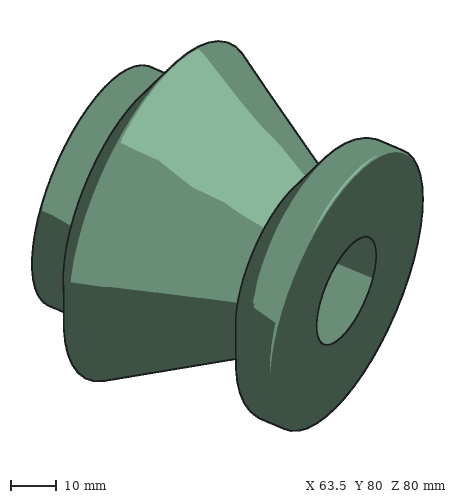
import cadquery as cq
import math

length = 63.5
rim_radius = 40.0
rim_position = 15.6
rim_round = 0.7
hub_radius = 28.5
neck_position = 48.0
flange_radius = 33.2
bore_radius = 12.7
long_cone_angle = math.radians(30)
short_cone_angle = math.radians(59)
shoulder_round = 3.35
end_round = 0.55


def arc_point(center, radius, tilt):
    """Point on an arc, tilted from the outward radial direction toward +X."""
    return (center[0] + radius * math.sin(tilt), center[1] + radius * math.cos(tilt))


rim_center = (rim_position, rim_radius - rim_round)
rim_start = arc_point(rim_center, rim_round, -short_cone_angle)
rim_end = arc_point(rim_center, rim_round, long_cone_angle)

short_cone_slope = math.tan(short_cone_angle)
hub_length = rim_start[0] - (rim_start[1] - hub_radius) / short_cone_slope
neck_radius = rim_end[1] - (neck_position - rim_end[0]) * math.tan(long_cone_angle)

shoulder_drop = shoulder_round * (1 - math.cos(short_cone_angle))
shoulder_start_x = neck_position + (flange_radius - shoulder_drop - neck_radius) / short_cone_slope
shoulder_center = (
    shoulder_start_x + shoulder_round * math.sin(short_cone_angle),
    flange_radius - shoulder_round,
)
shoulder_start = arc_point(shoulder_center, shoulder_round, -short_cone_angle)
shoulder_middle = arc_point(shoulder_center, shoulder_round, -short_cone_angle / 2)
shoulder_end = arc_point(shoulder_center, shoulder_round, 0)

hub_edge_center = (end_round, hub_radius - end_round)
flange_edge_center = (length - end_round, flange_radius - end_round)
half_corner = math.radians(45)

profile = (
    cq.Workplane("XY")
    .moveTo(0, bore_radius)
    .lineTo(0, hub_radius - end_round)
    .threePointArc(arc_point(hub_edge_center, end_round, -half_corner), (end_round, hub_radius))
    .lineTo(hub_length, hub_radius)
    .lineTo(*rim_start)
    .threePointArc((rim_position, rim_radius), rim_end)
    .lineTo(neck_position, neck_radius)
    .lineTo(*shoulder_start)
    .threePointArc(shoulder_middle, shoulder_end)
    .lineTo(length - end_round, flange_radius)
    .threePointArc(
        arc_point(flange_edge_center, end_round, half_corner),
        (length, flange_radius - end_round),
    )
    .lineTo(length, bore_radius)
    .close()
)

result = profile.revolve(360, (0, 0, 0), (1, 0, 0))